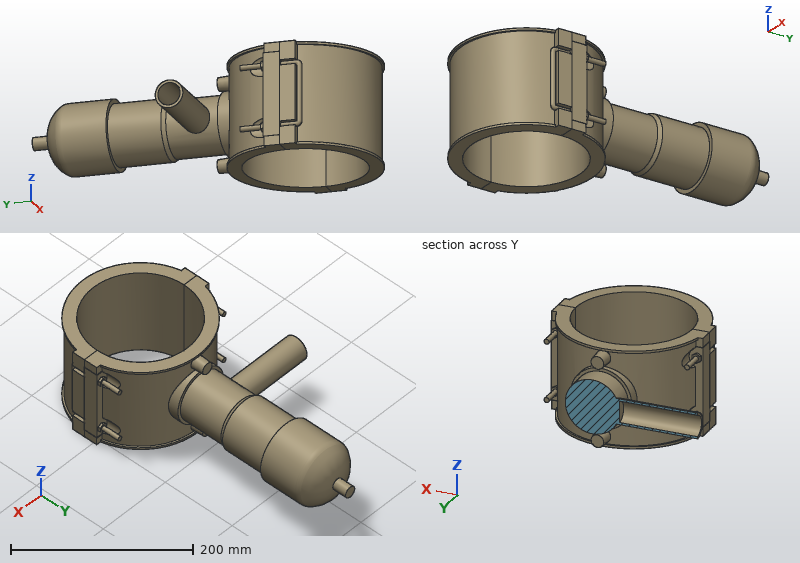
import cadquery as cq
import math

ring_height = 118.0
ring_bore_radius = 70.0
ring_radius = 84.0
lip_radius = 86.5
lip_thickness = 3.0
flange_half_width = 90.5
saddle_flange_depth = 18.5
strap_flange_depth = 17.5

pad_half_width = 91.0
pad_depth = 19.2
spot_radius = 13.0
spot_x = 87.5
spot_length = 40.0

rod_diameter = 6.0
rod_radius = rod_diameter / 2
bend_radius = 3.2
bolt_x = 84.0
leg_z = 35.2
leg_end_y = 47.3
nut_flats = 10.0
nut_thickness = 3.2
nut_corners = nut_flats / math.cos(math.pi / 6)
crossbar_y = -(strap_flange_depth + rod_radius)
pad_half_height = leg_z + spot_radius

collar_radius = 73.3 / 2
collar_end_y = 90.0
neck_radius = 65.5 / 2
neck_end_y = 151.0
barrel_radius = 71.0 / 2
barrel_start_y = 156.0
cap_radius = 81.5 / 2
cap_start_y = 217.5
knuckle_radius = 14.0
crown_radius = 36.0
crown_top_y = 294.8
spindle_radius = 15.0 / 2
spindle_end_y = 314.0

pipe_diameter = 32.0
pipe_bore_diameter = 25.5
pipe_y = 116.0
pipe_end_x = -126.0
stud_base_radius = 9.5
stud_tip_radius = 7.5
stud_z = 47.3
stud_end_y = 100.0


def spot_face(x, z):
    """Cutter parallel to Y that clears the ring above a nut pad."""
    start = cq.Vector(x, pad_depth, z)
    return cq.Workplane(cq.Solid.makeCylinder(spot_radius, spot_length, start, cq.Vector(0, 1, 0)))


def half_ring(side, flange_depth):
    """Lipped half ring with side flanges, on the +Y (side = 1) or -Y (side = -1) half."""
    lip_start_z = (ring_height - lip_thickness) / 2
    ring = cq.Workplane().circle(ring_radius).extrude(ring_height / 2, both=True)
    for lip_z in (lip_start_z, -lip_start_z):
        lip = cq.Workplane(origin=(0, 0, lip_z)).circle(lip_radius).extrude(lip_thickness / 2, both=True)
        ring = ring.union(lip)
    flanges = cq.Workplane().box(2 * flange_half_width, 2 * flange_depth, ring_height)
    half_span = 2 * flange_half_width
    half_space = cq.Workplane().box(half_span, half_span, ring_height)
    half_space = half_space.translate((0, side * half_span / 2, 0))
    return ring.union(flanges).intersect(half_space)


def ring_bore():
    """Through bore of the whole clamp."""
    return cq.Workplane(origin=(0, 0, -ring_height)).circle(ring_bore_radius).extrude(2 * ring_height)


def valve_body():
    """Revolved collar, neck, barrel, cap and spindle."""
    crown_center_y = crown_top_y - crown_radius
    knuckle_center_x = cap_radius - knuckle_radius
    crown_angle = math.asin((knuckle_center_x - spindle_radius) / (crown_radius - knuckle_radius))
    knuckle_center_y = crown_center_y + (crown_radius - knuckle_radius) * math.cos(crown_angle)
    joint = (
        spindle_radius + crown_radius * math.sin(crown_angle),
        crown_center_y + crown_radius * math.cos(crown_angle),
    )
    crown_start = (spindle_radius, crown_top_y)
    profile = (
        cq.Workplane()
        .lineTo(collar_radius, 0)
        .lineTo(collar_radius, collar_end_y)
        .lineTo(neck_radius, collar_end_y)
        .lineTo(neck_radius, neck_end_y)
        .lineTo(barrel_radius, barrel_start_y)
        .lineTo(barrel_radius, cap_start_y)
        .lineTo(cap_radius, cap_start_y)
        .lineTo(cap_radius, knuckle_center_y)
        .tangentArcPoint(joint, relative=False)
        .tangentArcPoint(crown_start, relative=False)
        .lineTo(spindle_radius, spindle_end_y)
        .lineTo(0, spindle_end_y)
        .close()
    )
    return profile.revolve(360, (0, 0, 0), (0, 1, 0))


def stud(z):
    """Tapered stud from the bore outward along +Y."""
    length = stud_end_y - ring_bore_radius
    base = cq.Vector(0, ring_bore_radius, z)
    return cq.Workplane(cq.Solid.makeCone(stud_base_radius, stud_tip_radius, length, base, cq.Vector(0, 1, 0)))


def pipe_cylinder(diameter, end_x):
    """Cylinder along X from the free end of the side pipe to end_x."""
    return (
        cq.Workplane("YZ", origin=(pipe_end_x, pipe_y, 0))
        .circle(diameter / 2)
        .extrude(end_x - pipe_end_x)
    )


def u_bolt(side):
    """U-bolt with its two nuts on the side = 1 (+X) or side = -1 (-X) flange."""
    x = side * bolt_x
    bend_start_y = crossbar_y + bend_radius
    crossbar_end_z = leg_z - bend_radius
    centerline = (
        cq.Workplane("YZ", origin=(x, 0, 0))
        .moveTo(leg_end_y, -leg_z)
        .lineTo(bend_start_y, -leg_z)
        .tangentArcPoint((crossbar_y, -crossbar_end_z), relative=False)
        .lineTo(crossbar_y, crossbar_end_z)
        .tangentArcPoint((bend_start_y, leg_z), relative=False)
        .lineTo(leg_end_y, leg_z)
    )
    bolt = cq.Workplane("XZ", origin=(x, leg_end_y, -leg_z)).circle(rod_radius).sweep(centerline)
    for z in (leg_z, -leg_z):
        nut = (
            cq.Workplane("XZ", origin=(x, pad_depth + nut_thickness, z))
            .polygon(6, nut_corners)
            .extrude(nut_thickness)
            .rotate((x, 0, z), (x, 1, z), 90)
        )
        bolt = bolt.union(nut)
    return bolt


def leg_slots():
    """Slots in the strap flanges, open to the sides, that take the bolt legs."""
    slots = []
    reach = flange_half_width - bolt_x
    for side in (1, -1):
        for z in (leg_z, -leg_z):
            opening = cq.Workplane().box(reach, strap_flange_depth, rod_diameter)
            opening = opening.translate((side * (bolt_x + reach / 2), -strap_flange_depth / 2, z))
            slots.append(opening)
    return slots


def saddle():
    """Half ring with nut pads, valve, side pipe and studs, pierced by the bolt legs."""
    body = half_ring(1, saddle_flange_depth)
    for side in (1, -1):
        for z in (leg_z, -leg_z):
            body = body.cut(spot_face(side * spot_x, z))
    pads = (
        cq.Workplane()
        .box(2 * pad_half_width, pad_depth, 2 * pad_half_height)
        .translate((0, pad_depth / 2, 0))
    )
    body = body.union(pads).union(valve_body())
    body = body.union(pipe_cylinder(pipe_diameter, 0))
    body = body.cut(pipe_cylinder(pipe_bore_diameter, -neck_radius))
    for z in (stud_z, -stud_z):
        body = body.union(stud(z))
    body = body.cut(ring_bore())
    for side in (1, -1):
        body = body.cut(u_bolt(side))
    return body


def strap():
    """Plain half ring that carries both U-bolts."""
    body = half_ring(-1, strap_flange_depth).cut(ring_bore())
    for slot in leg_slots():
        body = body.cut(slot)
    for side in (1, -1):
        body = body.union(u_bolt(side), clean=False)
    return body


saddle_body = saddle()
strap_body = strap()
result = cq.Compound.makeCompound([saddle_body.val(), strap_body.val()])